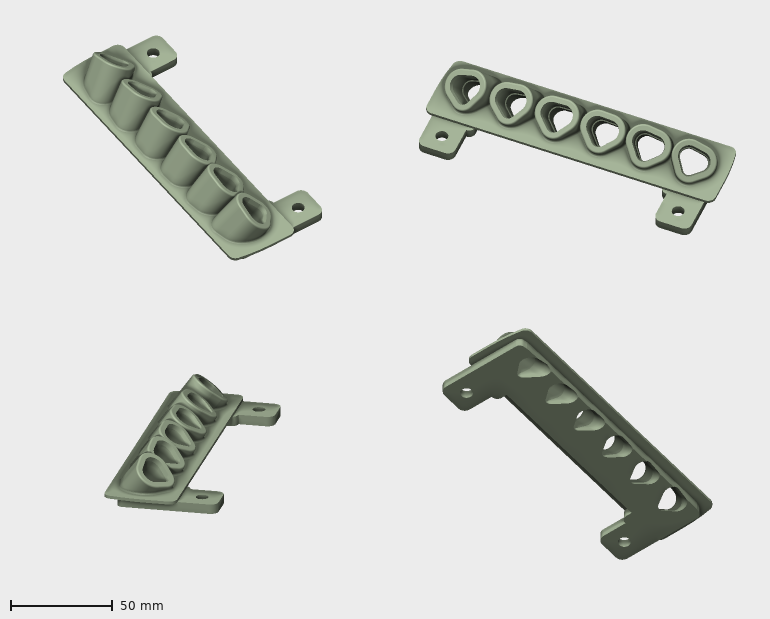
import cadquery as cq
import math

plate_length = 154.0
plate_depth = 37.0
plate_thickness = 1.5
plate_corner_radius = 4.0
plate_taper = 2.3
plate_taper_start = 21.4

block_height = 5.0
block_length = 145.0
block_front = 5.5
block_back = 32.5
block_corner_radius = 3.0
block_corner_y = 9.1
corner_round_end = (70.2, 6.2)
corner_slope_end = (67.9, 5.7)
corner_blend_end_x = 64.2

tab_width = 19.1
tab_back = 56.8
tab_corner_radius = 4.0
tab_hole_diameter = 6.3
tab_hole_setback = 9.5
shoulder_width = 3.5
shoulder_y = 39.1
shoulder_radius = 3.4

socket_count = 6
socket_pitch = 22.3
fan_step = 7.2
back_lean = 35.0
socket_front = -0.5
socket_length = 27.3
socket_wall = 3.2
rim_radius = 1.0
base_fillet = 1.0

mouth_depth = 14.8
mouth_flat = 6.0
mouth_side_radius = 5.4
mouth_peak_radius = 3.8

lead_in_depth = 2.5
lead_in_inset = 0.5
ledge_depth = 12.5
ledge_inset = 0.6
bore_overrun = 18.5

plate_top = block_height + plate_thickness


def outline(plane, height, inset):
    """Closed mouth outline moved inward by inset (outward if negative), at a height along the axis."""
    half_flat = mouth_flat / 2
    side_radius = mouth_side_radius - inset
    peak_radius = mouth_peak_radius - inset
    side_center = (half_flat, mouth_side_radius)
    peak_center = (0, mouth_depth - mouth_peak_radius)

    dx = side_center[0] - peak_center[0]
    dy = side_center[1] - peak_center[1]
    radius_change = mouth_peak_radius - mouth_side_radius
    flank = math.atan2(dy, dx) + math.acos(radius_change / math.hypot(dx, dy))

    def on_round(center, radius, angle):
        return center[0] + radius * math.cos(angle), center[1] + radius * math.sin(angle)

    def mirrored(point):
        return -point[0], point[1]

    flat_end = (half_flat, inset)
    side_mid = on_round(side_center, side_radius, (flank - math.pi / 2) / 2)
    side_end = on_round(side_center, side_radius, flank)
    peak_start = on_round(peak_center, peak_radius, flank)
    peak_top = (0, mouth_depth - inset)
    return (
        cq.Workplane(plane)
        .workplane(offset=height)
        .moveTo(*mirrored(flat_end))
        .lineTo(*flat_end)
        .threePointArc(side_mid, side_end)
        .lineTo(*peak_start)
        .threePointArc(peak_top, mirrored(peak_start))
        .lineTo(*mirrored(side_end))
        .threePointArc(mirrored(side_mid), mirrored(flat_end))
        .close()
    )


def make_socket_parts():
    """Body and cavity of one socket that leans back but not sideways, centred on the YZ plane."""
    lean = math.radians(back_lean)
    axis = (0, math.sin(lean), math.cos(lean))
    across = (0, math.cos(lean), -math.sin(lean))
    rim_origin = tuple(
        start + socket_length * along + socket_wall * inward
        for start, along, inward in zip((0, socket_front, 0), axis, across)
    )
    rim_plane = cq.Plane(origin=rim_origin, xDir=(1, 0, 0), normal=axis)
    total_length = socket_length + bore_overrun

    body = outline(rim_plane, 0, -socket_wall).extrude(-total_length)
    body = body.faces(cq.selectors.DirectionMinMaxSelector(cq.Vector(*axis), True))
    body = body.edges().fillet(rim_radius)

    lead_in = cq.Workplane(
        cq.Solid.makeLoft(
            [
                outline(rim_plane, 0, 0).wire().val(),
                outline(rim_plane, -lead_in_depth, lead_in_inset).wire().val(),
            ],
            True,
        )
    )
    pocket = outline(rim_plane, -lead_in_depth, lead_in_inset).extrude(lead_in_depth - ledge_depth)
    bore_inset = lead_in_inset + ledge_inset
    bore = outline(rim_plane, -lead_in_depth, bore_inset).extrude(lead_in_depth - total_length)
    return body, lead_in.union(pocket).union(bore)


def make_plate():
    half = plate_length / 2
    narrow = half - plate_taper
    arc_radius = (plate_taper_start**2 + plate_taper**2) / (2 * plate_taper)
    half_sweep = math.asin(plate_taper_start / arc_radius) / 2
    mid_x = half - arc_radius * (1 - math.cos(half_sweep))
    mid_y = plate_taper_start - arc_radius * math.sin(half_sweep)
    return (
        cq.Workplane("XY")
        .workplane(offset=block_height)
        .moveTo(-narrow, 0)
        .lineTo(narrow, 0)
        .threePointArc((mid_x, mid_y), (half, plate_taper_start))
        .lineTo(half, plate_depth)
        .lineTo(-half, plate_depth)
        .lineTo(-half, plate_taper_start)
        .threePointArc((-mid_x, mid_y), (-narrow, 0))
        .close()
        .extrude(plate_thickness)
        .edges("|Z and (<Y or >Y)")
        .fillet(plate_corner_radius)
    )


def make_half_block():
    """Right half of the base block with its mounting tab."""
    outer = block_length / 2
    inner = outer - tab_width
    bend = math.radians(45)
    corner_mid = (
        outer - block_corner_radius * (1 - math.cos(bend)),
        block_corner_y - block_corner_radius * math.sin(bend),
    )
    core = (
        cq.Workplane("XY")
        .moveTo(0, block_front)
        .lineTo(corner_blend_end_x, block_front)
        .tangentArcPoint(corner_slope_end, relative=False)
        .lineTo(*corner_round_end)
        .threePointArc(corner_mid, (outer, block_corner_y))
        .lineTo(outer, block_back)
        .lineTo(0, block_back)
        .close()
        .extrude(block_height)
    )

    def root_box(x_min, y_max):
        size = (outer - x_min, y_max - block_corner_y, block_height)
        return cq.Workplane("XY").box(*size, centered=False).translate((x_min, block_corner_y, 0))

    tab = root_box(inner, tab_back).edges("|Z and >Y").fillet(tab_corner_radius)
    shoulder = root_box(inner - shoulder_width, shoulder_y)
    shoulder = shoulder.edges("|Z and >Y and <X").fillet(shoulder_radius)
    hole = (
        cq.Workplane("XY")
        .center(outer - tab_width / 2, tab_back - tab_hole_setback)
        .circle(tab_hole_diameter / 2)
        .extrude(block_height)
    )
    return core.union(tab).union(shoulder).cut(hole)


def fan_out(shape, index):
    """Lean a socket shape sideways and move it to its place in the row."""
    place = index - (socket_count - 1) / 2
    leaned = shape.rotate((0, 0, 0), (0, 1, 0), place * fan_step)
    return leaned.translate((place * socket_pitch, 0, 0))


def footed_socket(plate, body):
    """The plate with one socket body standing on it, rounded where the two meet."""
    size = 2 * plate_length
    cutting_height = block_height + plate_thickness / 2
    above = cq.Workplane("XY").workplane(offset=cutting_height).rect(size, size).extrude(size)
    joined = plate.union(body.intersect(above))
    top_face = cq.selectors.BoxSelector(
        (-size, -size, plate_top - plate_thickness / 4),
        (size, size, plate_top + plate_thickness / 4),
        boundingbox=True,
    )
    foot_edges = joined.faces(top_face).val().innerWires()[0].Edges()
    return joined.newObject(foot_edges).fillet(base_fillet)


half_block = make_half_block()
block = half_block.union(half_block.mirror("YZ"))

socket_body, socket_cavity = make_socket_parts()
plate = make_plate()
top = plate
for i in range(socket_count):
    top = top.union(footed_socket(plate, fan_out(socket_body, i)))

result = block.union(top)
for i in range(socket_count):
    result = result.cut(fan_out(socket_cavity, i))